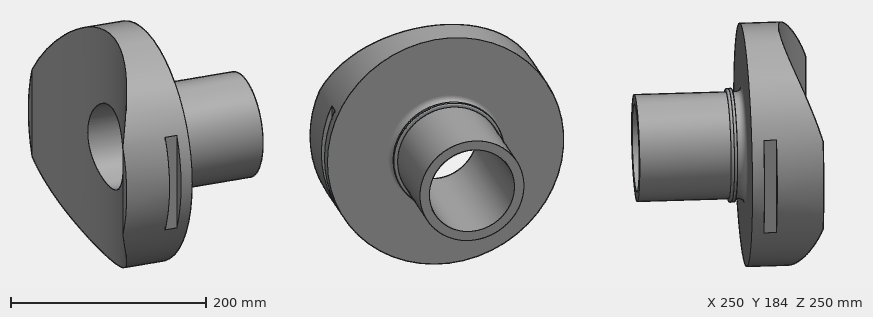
import cadquery as cq
import math

flange_radius = 125
flange_depth = 73.5
tube_radius = 55
tube_length = 110.5
bore_radius = 45

saddle_radius = 200
saddle_half_width = 115.2
saddle_rise = saddle_radius - math.sqrt(saddle_radius**2 - saddle_half_width**2)

slot_floor_x = 114.0
slot_offset = 12.5
slot_width = 13.0

fillet_radius = 6.2
ring_outer_radius = 58.5
ring_width = 3.2
ring_count = 2
ring_start = 10


def cylinder(radius, start, end):
    """Cylinder along Y between two positions."""
    return cq.Workplane("XZ", origin=(0, end, 0)).circle(radius).extrude(end - start)


def revolve_about_y(profile):
    return profile.revolve(360, (0, 0, 0), (0, 1, 0))


def make_flange():
    flange = cylinder(flange_radius, -flange_depth, 0)
    saddle_axis_y = -flange_depth + saddle_rise - saddle_radius
    saddle = (
        cq.Workplane("XY")
        .center(0, saddle_axis_y)
        .circle(saddle_radius)
        .extrude(flange_radius, both=True)
    )
    flange = flange.cut(saddle)
    slot_depth = flange_radius - slot_floor_x
    for side in (-1, 1):
        slot = cq.Workplane("XY").box(slot_depth, slot_width, 2 * flange_radius)
        slot_x = side * (slot_floor_x + slot_depth / 2)
        flange = flange.cut(slot.translate((slot_x, -slot_offset - slot_width / 2, 0)))
    return flange


def make_root_fillet():
    arc_inset = fillet_radius * (1 - math.sqrt(0.5))
    profile = (
        cq.Workplane("XY")
        .moveTo(bore_radius, 0)
        .lineTo(tube_radius + fillet_radius, 0)
        .threePointArc((tube_radius + arc_inset, arc_inset), (tube_radius, fillet_radius))
        .lineTo(bore_radius, fillet_radius)
        .close()
    )
    return revolve_about_y(profile)


def make_ring(start):
    edge_radius = ring_width / 2
    round_start = ring_outer_radius - edge_radius
    profile = (
        cq.Workplane("XY")
        .moveTo(bore_radius, start)
        .lineTo(round_start, start)
        .threePointArc((ring_outer_radius, start + edge_radius), (round_start, start + ring_width))
        .lineTo(bore_radius, start + ring_width)
        .close()
    )
    return revolve_about_y(profile)


body = make_flange().union(cylinder(tube_radius, 0, tube_length)).union(make_root_fillet())
for index in range(ring_count):
    body = body.union(make_ring(ring_start + index * ring_width))

result = body.cut(cylinder(bore_radius, -flange_depth, tube_length))